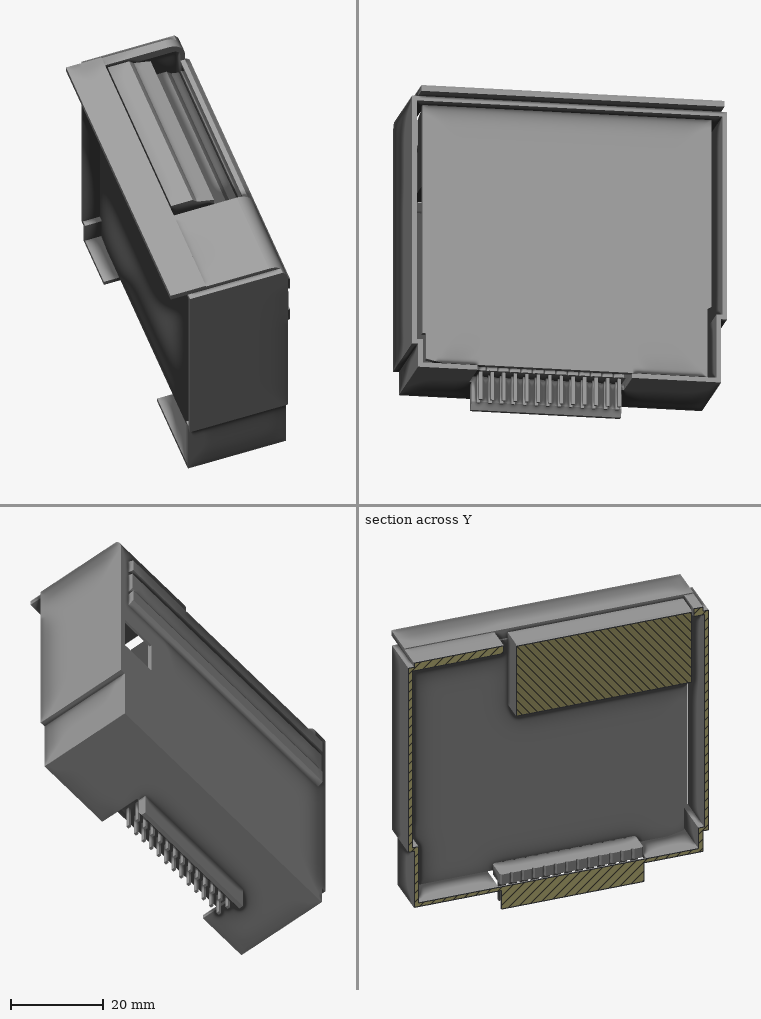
import cadquery as cq
import math

width = 69.25
depth = 22.56
roof_top = 61.98
wall = 1.04
roof_thickness = 2 * wall
side_step = 1.3
base_half = width / 2 - side_step
left_step_z = 5.19
right_step_z = 14.26
shoulder_z = roof_top - wall
back_radius = 3.9
inner_radius = back_radius - roof_thickness
ceiling_z = roof_top - roof_thickness

lip_back_y = -18.4
lip_front_y = -26.53
lip_top = 62.25

opening_left = -31.2
opening_right = 12.6
opening_sill_z = 56.1

louvre_half = 32.06
louvre_mid_z = 47.65
louvre_depth = 1.32
middle_louvre_depth = 1.04
middle_louvre_half_height = 2.95
outer_louvre_near = 4.0
outer_louvre_far = 7.8
shallow_slope = 0.38
steep_slope = 0.75

latch_left = 24.3
latch_right = 33.3
latch_bottom = 24.4
latch_top = 33.4
latch_recess_bottom = 23.6
latch_recess_top = 37.6
latch_recess_depth = 0.5

pin_pitch = 2.54
pin_columns = 13
pin_size = 0.7
pin_bottom = -4.93
connector_mid_x = -3.25
connector_length = pin_columns * pin_pitch

board_back_y = -17.9
board_thickness = 1.4
board_half = 31.76
board_inset = 0.8
board_bottom = 2.07
board_left_step_z = 8.56
board_right_step_z = 17.4
board_slope_run = 3.75
board_slope_rise = 0.78

header_bottom = 1.3
header_height = pin_pitch
header_back_y = board_back_y + 2 * pin_pitch
header_mid_y = (board_back_y + header_back_y) / 2
header_left = connector_mid_x - connector_length / 2
notch_depth = 0.4

terrace_slope = math.tan(math.radians(15))
terminal_left = -30.76
upper_terrace_right = 9.7
upper_terrace_z = 61.6
upper_flat_back_y = -12.97
upper_back_y = -8.04
lower_terrace_left = -32.05
lower_terrace_right = 8.66
lower_terrace_z = 52.5
lower_flat_back_y = -3.9
terrace_chamfer = 1.04
terminal_bottom = 43.4

floor_slot_clearance = 0.5
skirt_front_y = header_back_y
skirt_back_y = -10.9
skirt_bottom = -5.96
skirt_chamfer_y = 0.9
skirt_chamfer_z = 1.65


def block(x0, x1, y0, y1, z0, z1):
    """Axis-parallel box between two corners."""
    return cq.Workplane("XY").box(x1 - x0, y1 - y0, z1 - z0, centered=False).translate((x0, y0, z0))


def prism_along_x(points, x0, x1):
    """Extrude a closed (Y, Z) outline from x0 to x1."""
    return cq.Workplane("YZ").workplane(offset=x0).polyline(points).close().extrude(x1 - x0)


def rounded_block(outline, back_y, top_z, radius):
    """Extrude an (X, Z) outline forward from back_y and round its top back edge."""
    body = cq.Workplane("XZ").workplane(offset=-back_y).polyline(outline).close().extrude(depth + back_y)
    side_profile = (
        cq.Workplane("YZ")
        .workplane(offset=-width / 2)
        .moveTo(-depth, 0)
        .lineTo(back_y, 0)
        .lineTo(back_y, top_z - radius)
        .radiusArc((back_y - radius, top_z), -radius)
        .lineTo(-depth, top_z)
        .close()
        .extrude(width)
    )
    return body.intersect(side_profile)


def stepped_outline(inset, top_z):
    """(X, Z) outline that is wide above the left and right steps, drawn in by inset."""
    half = width / 2 - inset
    low_half = base_half - inset
    left_z = left_step_z + inset
    right_z = right_step_z + inset
    return [
        (-low_half, inset),
        (low_half, inset),
        (low_half, right_z),
        (half, right_z),
        (half, top_z),
        (-half, top_z),
        (-half, left_z),
        (-low_half, left_z),
    ]


def louvre_outline(bottom, top, reach, bottom_run, top_run):
    """Tapered (Y, Z) outline; the runs are the Z shifts of its flanks out to the tip."""
    return [(0, bottom), (reach, bottom + bottom_run), (reach, top + top_run), (0, top)]


def hollow_louvre(shell, bottom, top, reach, bottom_run, top_run):
    """Add one louvre to the back wall and hollow it from the inside at wall thickness."""
    outer = louvre_outline(bottom, top, reach, bottom_run, top_run)
    hollow = [(y - wall, z) for y, z in louvre_outline(bottom + wall, top, reach, bottom_run, top_run)]
    shell = shell.union(prism_along_x(outer, -louvre_half, louvre_half))
    return shell.cut(prism_along_x(hollow, -louvre_half + wall, louvre_half - wall))


def make_housing():
    shell = rounded_block(stepped_outline(0, roof_top), 0, roof_top, back_radius)
    for x0 in (-width / 2, base_half):
        shell = shell.cut(block(x0, x0 + side_step, -depth, 0, shoulder_z, roof_top))
    shell = shell.cut(rounded_block(stepped_outline(wall, ceiling_z), -wall, ceiling_z, inner_radius))

    shell = shell.union(block(-base_half, base_half, lip_front_y, lip_back_y, shoulder_z, lip_top))

    shell = shell.cut(block(opening_left, opening_right, lip_back_y, 0, opening_sill_z, roof_top))

    shell = hollow_louvre(
        shell,
        louvre_mid_z + outer_louvre_near,
        louvre_mid_z + outer_louvre_far,
        louvre_depth,
        -shallow_slope,
        -steep_slope,
    )
    shell = hollow_louvre(
        shell,
        louvre_mid_z - middle_louvre_half_height,
        louvre_mid_z + middle_louvre_half_height,
        middle_louvre_depth,
        shallow_slope,
        -shallow_slope,
    )
    shell = hollow_louvre(
        shell,
        louvre_mid_z - outer_louvre_far,
        louvre_mid_z - outer_louvre_near,
        louvre_depth,
        steep_slope,
        shallow_slope,
    )

    recess_back_y = latch_recess_depth - wall
    side_inner_x = width / 2 - wall
    shell = shell.cut(
        block(latch_left, side_inner_x, -wall, recess_back_y, latch_recess_bottom, latch_recess_top)
    )
    shell = shell.cut(block(latch_left, latch_right, -wall, 0, latch_bottom, latch_top))

    slot_half = connector_length / 2 + floor_slot_clearance
    shell = shell.cut(
        block(connector_mid_x - slot_half, connector_mid_x + slot_half, -depth, skirt_front_y, 0, wall)
    )

    skirt_outline = [
        (skirt_back_y, 0),
        (skirt_back_y, skirt_bottom),
        (skirt_front_y + skirt_chamfer_y, skirt_bottom),
        (skirt_front_y, skirt_bottom + skirt_chamfer_z),
        (skirt_front_y, 0),
    ]
    return shell.union(prism_along_x(skirt_outline, header_left, header_left + connector_length))


def make_board():
    low_half = board_half - board_inset
    outline = [
        (-low_half + board_slope_run, board_bottom),
        (low_half, board_bottom),
        (low_half, board_right_step_z),
        (board_half, board_right_step_z + board_inset / 2),
        (board_half, ceiling_z),
        (-board_half, ceiling_z),
        (-board_half, board_left_step_z),
        (-low_half, board_left_step_z),
        (-low_half, board_bottom + board_slope_rise),
    ]
    sketch = cq.Workplane("XZ").workplane(offset=-board_back_y).polyline(outline).close()
    return sketch.extrude(board_thickness)


def make_header():
    """Two-row pin header: notched plastic body with straight pins."""
    body_top = header_bottom + header_height
    header_right = header_left + connector_length
    body = block(header_left, header_right, board_back_y, header_back_y, header_bottom, body_top)
    for boundary in range(pin_columns + 1):
        x = header_left + boundary * pin_pitch
        for y in (board_back_y, header_back_y):
            notch = [(x - notch_depth, y), (x, y - notch_depth), (x + notch_depth, y), (x, y + notch_depth)]
            cutter = cq.Workplane("XY").workplane(offset=header_bottom).polyline(notch).close()
            body = body.cut(cutter.extrude(header_height))
    pins = (
        cq.Workplane("XY")
        .workplane(offset=pin_bottom)
        .center(connector_mid_x, header_mid_y)
        .rarray(pin_pitch, pin_pitch, pin_columns, 2)
        .rect(pin_size, pin_size)
        .extrude(body_top - pin_bottom)
    )
    return body.union(pins)


def make_terrace(front_y, flat_back_y, back_y, top_z, left, right):
    """Terminal block step: flat top, 45 degree edge, then a gentle slope down to its back."""
    edge_y = flat_back_y + terrace_chamfer
    edge_z = top_z - terrace_chamfer
    outline = [
        (front_y, terminal_bottom),
        (front_y, top_z),
        (flat_back_y, top_z),
        (edge_y, edge_z),
        (back_y, edge_z - (back_y - edge_y) * terrace_slope),
        (back_y, terminal_bottom),
    ]
    return prism_along_x(outline, left, right)


def make_module():
    upper = make_terrace(
        board_back_y, upper_flat_back_y, upper_back_y, upper_terrace_z, terminal_left, upper_terrace_right
    )
    lower = make_terrace(
        upper_back_y, lower_flat_back_y, -wall, lower_terrace_z, lower_terrace_left, lower_terrace_right
    )
    return make_board().union(make_header()).union(upper).union(lower)


housing = make_housing()
module = make_module()
result = cq.Compound.makeCompound([housing.val(), module.val()])